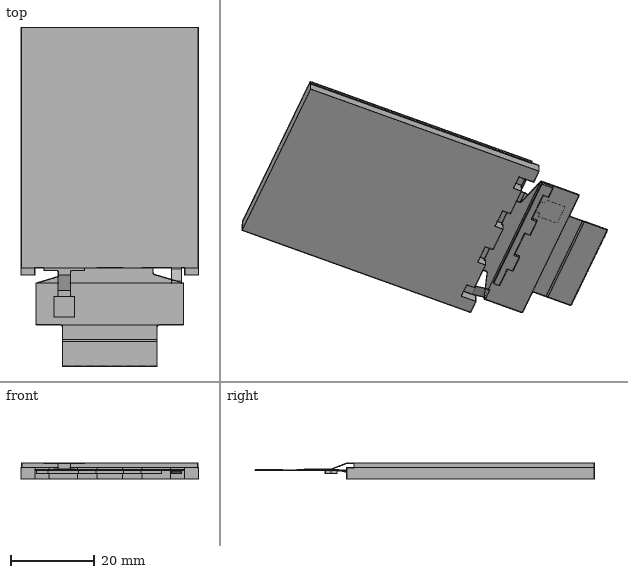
import cadquery as cq
import math


total_length = 81.5
total_height = 3.9
frame_width = 42.7
frame_top = 2.8
back_y = total_length / 2
tail_end_y = -total_length / 2
glass_width = 42.3
glass_front_y = -17.0
foot_front_y = -18.7
foot_inner_x = 18.0
frame_front_y = -16.95

notch_depth = 2.0
outer_notch_inner_x = 14.6
inner_notch_outer_x = 7.7
inner_notch_inner_x = 3.1

circuit_bottom = 2.0
circuit_base_thickness = 0.2
circuit_thickness = 0.285
circuit_base_top = circuit_bottom + circuit_base_thickness
circuit_top = circuit_bottom + circuit_thickness
hinge_half_width = 10.4
hinge_corner_y = -18.5
hinge_fillet = 0.5
hinge_overlap = 0.4
wide_half_width = 17.75
wide_back_y = -20.7
wide_front_y = -30.7
corner_radius = 0.3
tail_width = 22.8
tail_fillet = 0.5
adhesive_back_y = -34.2
adhesive_top = (circuit_base_top + circuit_top) / 2
stiffener_back_y = -34.7

finger_span = 22.0
finger_count = 45
finger_pitch = finger_span / (finger_count - 1)
finger_width = 0.2
finger_projection = 0.1
finger_thickness = 0.1

bank_bottom = 1.3
bank_back_y = -21.0
bank_recess_y = -22.6
bank_front_y = -23.95
bank_left_x = -17.6
bank_right_x = 12.5
notch_clearance = 0.25

ribbon_thickness = 0.1
ribbon_x = -10.9
ribbon_width = 2.9
ribbon_root_width = 9.8
ribbon_root_y = -17.7
ribbon_bend_y = -18.7
ribbon_landing_y = -22.5
ribbon_setback = 0.04
ribbon_root_top = total_height - ribbon_setback
ribbon_corner_radius = 0.25
ribbon_fillet = 0.3
pad_size = 5.0
pad_thickness = 0.12
pad_back_y = -23.9

backlight_left_x = 14.8
backlight_right_x = 17.3
backlight_bend_y = -17.4
backlight_landing_y = -20.0
backlight_end_y = -21.0


def block(x_min, x_max, y_min, y_max, z_min, z_max):
    """Box between two corners."""
    size = (x_max - x_min, y_max - y_min, z_max - z_min)
    return cq.Workplane("XY").box(*size, centered=False).translate((x_min, y_min, z_min))


def centred_block(width, y_min, y_max, z_min, z_max):
    """Box symmetric about X = 0."""
    return block(-width / 2, width / 2, y_min, y_max, z_min, z_max)


def concave_fillet(corner, x_side, y_side, radius, z_min, z_max):
    """Fill for an inner corner, spreading from it toward x_side and y_side (each 1 or -1)."""
    x, y = corner
    mid = radius * (1 - math.sqrt(0.5))
    return (
        cq.Workplane("XY", origin=(0, 0, z_min))
        .moveTo(x, y)
        .lineTo(x + x_side * radius, y)
        .threePointArc((x + x_side * mid, y + y_side * mid), (x, y + y_side * radius))
        .close()
        .extrude(z_max - z_min)
    )


def make_frame():
    half_width = frame_width / 2
    frame = centred_block(frame_width, frame_front_y, back_y, 0, frame_top)
    notches = (
        (outer_notch_inner_x, foot_inner_x),
        (inner_notch_inner_x, inner_notch_outer_x),
    )
    for side in (-1, 1):
        foot_x = sorted((side * foot_inner_x, side * half_width))
        frame = frame.union(block(*foot_x, foot_front_y, frame_front_y, 0, frame_top))
        for inner_x, outer_x in notches:
            notch_x = sorted((side * inner_x, side * outer_x))
            notch_back_y = frame_front_y + notch_depth
            frame = frame.cut(block(*notch_x, frame_front_y, notch_back_y, 0, frame_top))
    return frame


def make_glass():
    return centred_block(glass_width, glass_front_y, back_y, frame_top, total_height)


def make_circuit():
    hinge_back_y = frame_front_y + hinge_overlap
    hinge = (
        cq.Workplane("XY", origin=(0, 0, circuit_bottom))
        .polyline([
            (-hinge_half_width, hinge_back_y),
            (hinge_half_width, hinge_back_y),
            (hinge_half_width, hinge_corner_y),
            (wide_half_width, wide_back_y),
            (-wide_half_width, wide_back_y),
            (-hinge_half_width, hinge_corner_y),
        ])
        .close()
        .extrude(circuit_base_thickness)
    )
    flare_corners = cq.selectors.BoxSelector(
        (-wide_half_width, hinge_corner_y - hinge_fillet, 0),
        (wide_half_width, hinge_corner_y + hinge_fillet, total_height),
    )
    hinge = hinge.edges("|Z").edges(flare_corners).fillet(hinge_fillet)

    wide = centred_block(2 * wide_half_width, wide_front_y, wide_back_y, circuit_bottom, circuit_top)
    wide = wide.edges("|Z and <Y").fillet(corner_radius)

    tail_edge_y = tail_end_y + finger_projection
    tail = centred_block(tail_width, tail_edge_y, wide_front_y,
                         circuit_bottom, circuit_base_top)
    adhesive = centred_block(tail_width, tail_edge_y, adhesive_back_y,
                             circuit_bottom, adhesive_top)
    stiffener = centred_block(tail_width, tail_edge_y, stiffener_back_y,
                              circuit_bottom, circuit_top)
    tail = tail.union(adhesive).union(stiffener)
    for side in (-1, 1):
        tail = tail.union(concave_fillet(
            (side * tail_width / 2, wide_front_y), side, -1, tail_fillet,
            circuit_bottom, circuit_base_top))
    return hinge.union(wide).union(tail).union(make_fingers())


def make_fingers():
    finger_length = 2 * finger_projection
    finger_y = tail_end_y + finger_projection
    return (
        cq.Workplane("XY", origin=(0, finger_y, circuit_bottom))
        .rarray(finger_pitch, 0.8, finger_count, 1)
        .rect(finger_width, finger_length)
        .extrude(finger_thickness)
    )


def make_component_bank():
    bank = block(bank_left_x, bank_right_x, bank_recess_y, bank_back_y, bank_bottom, circuit_bottom)
    inner_x = inner_notch_inner_x + notch_clearance
    outer_x = inner_notch_outer_x - notch_clearance
    fingers = (
        (bank_left_x, -outer_notch_inner_x - notch_clearance),
        (-outer_x, -inner_x),
        (inner_x, outer_x),
    )
    for left_x, right_x in fingers:
        bank = bank.union(block(left_x, right_x, bank_front_y, bank_recess_y, bank_bottom, circuit_bottom))
    return bank


def make_bent_strip(left_x, right_x, points):
    """Thin strip whose lower face follows the (Y, Z) points."""
    upper_points = [(y, z + ribbon_thickness) for y, z in reversed(points)]
    return (
        cq.Workplane("YZ", origin=(left_x, 0, 0))
        .polyline(points + upper_points)
        .close()
        .extrude(right_x - left_x)
    )


def make_touch_ribbon():
    left_x = ribbon_x - ribbon_width / 2
    right_x = ribbon_x + ribbon_width / 2
    root_z = ribbon_root_top - ribbon_thickness
    root_left_x = ribbon_x - ribbon_root_width / 2
    root = block(root_left_x, root_left_x + ribbon_root_width, ribbon_root_y, glass_front_y,
                 root_z, ribbon_root_top)
    root = root.edges("|Z and <Y").fillet(ribbon_corner_radius)
    strip = make_bent_strip(left_x, right_x, [
        (ribbon_root_y, root_z),
        (ribbon_bend_y, root_z),
        (ribbon_landing_y, circuit_top),
        (pad_back_y, circuit_top),
    ])
    pad = block(ribbon_x - pad_size / 2, ribbon_x + pad_size / 2, pad_back_y - pad_size, pad_back_y,
                circuit_top, circuit_top + pad_thickness)
    ribbon = root.union(strip).union(pad)

    for side, edge_x in ((-1, left_x), (1, right_x)):
        ribbon = ribbon.union(concave_fillet(
            (edge_x, ribbon_root_y), side, -1, ribbon_fillet, root_z, ribbon_root_top))
        ribbon = ribbon.union(concave_fillet(
            (edge_x, pad_back_y), side, 1, ribbon_fillet, circuit_top, circuit_top + ribbon_thickness))
    return ribbon


def make_backlight_ribbon():
    return make_bent_strip(backlight_left_x, backlight_right_x, [
        (frame_front_y + notch_depth, bank_bottom),
        (backlight_bend_y, bank_bottom),
        (backlight_landing_y, circuit_bottom - ribbon_thickness),
        (backlight_end_y, circuit_bottom - ribbon_thickness),
    ])


result = (
    make_frame()
    .union(make_glass())
    .union(make_circuit())
    .union(make_component_bank())
    .union(make_touch_ribbon())
    .union(make_backlight_ribbon())
)